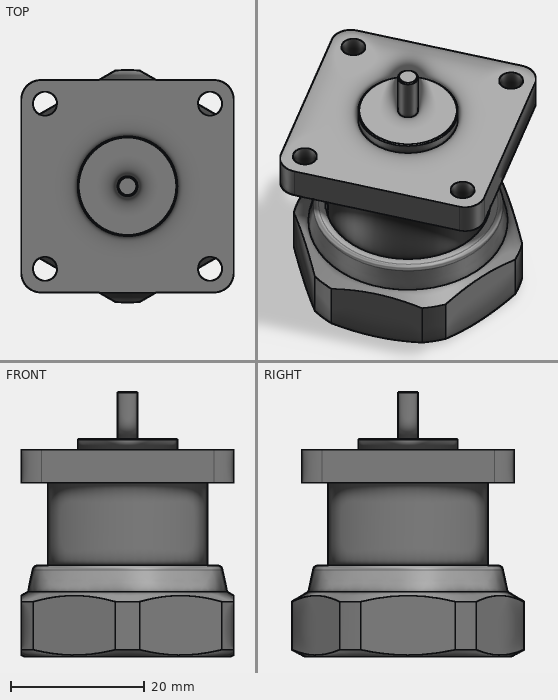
import cadquery as cq
import math

total_height = 39.88

nut_flats = 32.0
nut_corner_diameter = 35.0
nut_height = 13.75
lower_chamfer_top = 1.08
upper_chamfer_bottom = 8.3
base_diameter = 30.95
collar_bottom = 9.8
collar_diameter = 30.0
collar_taper = 12.0
collar_fillet = 0.8

clearance_diameter = 24.9
clearance_depth = 2.0

body_diameter = 24.1
flange_side = 32.0
flange_thickness = 5.0
flange_top = 31.15
flange_bottom = flange_top - flange_thickness
flange_corner_radius = 3.0
hole_diameter = 3.6
hole_spacing = 24.8

boss_diameter = 15.05
boss_top = 32.82
boss_chamfer = 0.2
pin_diameter = 3.05
pin_chamfer = 0.2


def cylinder(diameter, bottom, top):
    """Upright cylinder on the Z axis between two heights."""
    return cq.Workplane("XY").workplane(offset=bottom).circle(diameter / 2).extrude(top - bottom)


def make_nut():
    """Turned nut with a tapered collar, cut to a hexagon and bored for clearance."""
    collar_shrink = (nut_height - collar_bottom) * math.tan(math.radians(collar_taper))
    turned = (
        cq.Workplane("XZ")
        .moveTo(0, 0)
        .lineTo(base_diameter / 2, 0)
        .lineTo(nut_corner_diameter / 2, lower_chamfer_top)
        .lineTo(nut_corner_diameter / 2, upper_chamfer_bottom)
        .lineTo(collar_diameter / 2, collar_bottom)
        .lineTo(collar_diameter / 2 - collar_shrink, nut_height)
        .lineTo(0, nut_height)
        .close()
        .revolve(360, (0, 0, 0), (0, 1, 0))
        .faces(">Z")
        .edges()
        .fillet(collar_fillet)
    )
    hexagon = (
        cq.Workplane("XY")
        .polygon(6, nut_flats, circumscribed=True)
        .extrude(nut_height)
    )
    clearance = cylinder(clearance_diameter, nut_height - clearance_depth, nut_height)
    return turned.intersect(hexagon).cut(clearance)


def make_flange():
    """Square flange with rounded corners and four through holes."""
    return (
        cq.Workplane("XY")
        .workplane(offset=flange_bottom)
        .rect(flange_side, flange_side)
        .extrude(flange_thickness)
        .edges("|Z")
        .fillet(flange_corner_radius)
        .faces(">Z")
        .workplane()
        .rect(hole_spacing, hole_spacing, forConstruction=True)
        .vertices()
        .hole(hole_diameter)
    )


body = cylinder(body_diameter, nut_height - clearance_depth, flange_bottom)
boss = cylinder(boss_diameter, flange_top, boss_top).faces(">Z").chamfer(boss_chamfer)
pin = cylinder(pin_diameter, boss_top, total_height).faces(">Z").chamfer(pin_chamfer)

result = make_nut().union(body).union(make_flange()).union(boss).union(pin)